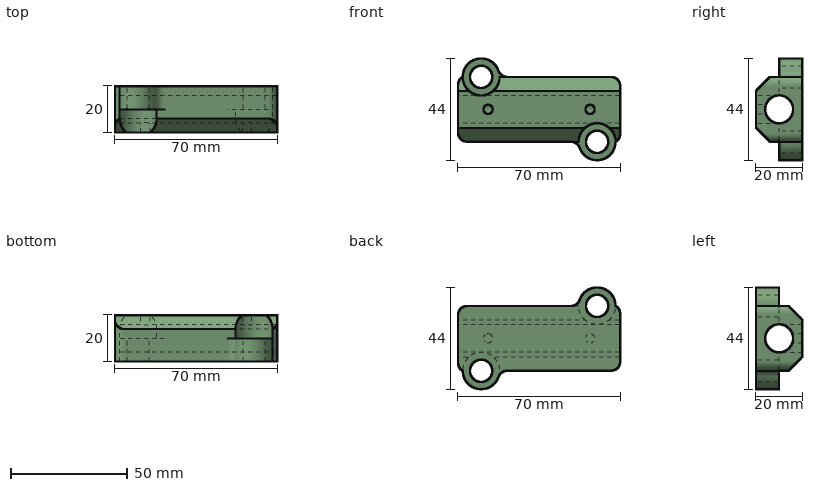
import cadquery as cq
import math

length = 70.0
depth = 20.0
height = 28.0
front_chamfer = 6.0
corner_radius = 4.0

ear_radius = 8.0
ear_hole_diameter = 9.5
ear_inset = 10.0
ear_front = depth / 2
ear_x = -length / 2 + ear_inset
ear_z = height / 2

main_bore_diameter = 12.0
cross_hole_diameter = 4.0
cross_hole_inset = 13.0


def turned_half(shape):
    """Copy a shape to the diagonally opposite corner."""
    return shape.rotate((0, 0, 0), (0, 1, 0), 180)


def rod(x, z, radius, y_start, y_end):
    """Cylinder along Y between two depths."""
    plane = cq.Workplane("XZ", origin=(x, y_start, z))
    return plane.circle(radius).extrude(y_start - y_end)


def make_body():
    """Block with rounded ends and two long front chamfers."""
    left = -length / 2
    right = length / 2
    top = height / 2
    diagonal = corner_radius * (1 - math.sqrt(0.5))

    ear_side = ear_inset - ear_radius
    center_x = left + corner_radius
    drop = math.sqrt(corner_radius**2 - (corner_radius - ear_side) ** 2)
    center_z = top - drop
    half_angle = math.asin(drop / corner_radius) / 2
    mid_x = center_x - corner_radius * math.cos(half_angle)
    mid_z = center_z + corner_radius * math.sin(half_angle)

    outline = (
        cq.Workplane("XZ")
        .moveTo(left, center_z)
        .threePointArc((mid_x, mid_z), (left + ear_side, top))
        .lineTo(right - corner_radius, top)
        .threePointArc((right - diagonal, top - diagonal), (right, top - corner_radius))
        .lineTo(right, -center_z)
        .threePointArc((-mid_x, -mid_z), (right - ear_side, -top))
        .lineTo(left + corner_radius, -top)
        .threePointArc((left + diagonal, diagonal - top), (left, corner_radius - top))
        .close()
    )
    block = outline.extrude(-depth)
    chamfered_section = (
        cq.Workplane("YZ", origin=(left, 0, 0))
        .moveTo(depth, -top)
        .lineTo(front_chamfer, -top)
        .lineTo(0, front_chamfer - top)
        .lineTo(0, top - front_chamfer)
        .lineTo(front_chamfer, top)
        .lineTo(depth, top)
        .close()
        .extrude(length)
    )
    return block.intersect(chamfered_section)


def make_ear():
    """Upper ear with a concave fillet running onto the top face."""
    ring = rod(ear_x, ear_z, ear_radius, ear_front, depth)

    reach = math.sqrt(ear_radius**2 + 2 * ear_radius * corner_radius)
    fillet_x = ear_x + reach
    fillet_z = ear_z + corner_radius
    contact_share = ear_radius / (ear_radius + corner_radius)
    web = (
        cq.Workplane("XZ", origin=(0, ear_front, 0))
        .moveTo(ear_x, ear_z)
        .lineTo(fillet_x, ear_z)
        .lineTo(fillet_x, fillet_z)
        .lineTo(ear_x + contact_share * reach, ear_z + contact_share * corner_radius)
        .close()
        .extrude(ear_front - depth)
        .cut(rod(fillet_x, fillet_z, corner_radius, ear_front, depth))
    )
    return ring.union(web)


def make_main_bore():
    """Bore through the full length."""
    plane = cq.Workplane("YZ", origin=(-length / 2, depth / 2, 0))
    return plane.circle(main_bore_diameter / 2).extrude(length)


part = make_body()

clearance = rod(ear_x, ear_z, ear_radius, 0, ear_front)
part = part.cut(clearance).cut(turned_half(clearance))

ear = make_ear()
part = part.union(ear).union(turned_half(ear))

ear_hole = rod(ear_x, ear_z, ear_hole_diameter / 2, ear_front, depth)
part = part.cut(ear_hole).cut(turned_half(ear_hole))

part = part.cut(make_main_bore())

cross_hole = rod(cross_hole_inset - length / 2, 0, cross_hole_diameter / 2, 0, depth / 2)
part = part.cut(cross_hole).cut(turned_half(cross_hole))

result = part.solids()